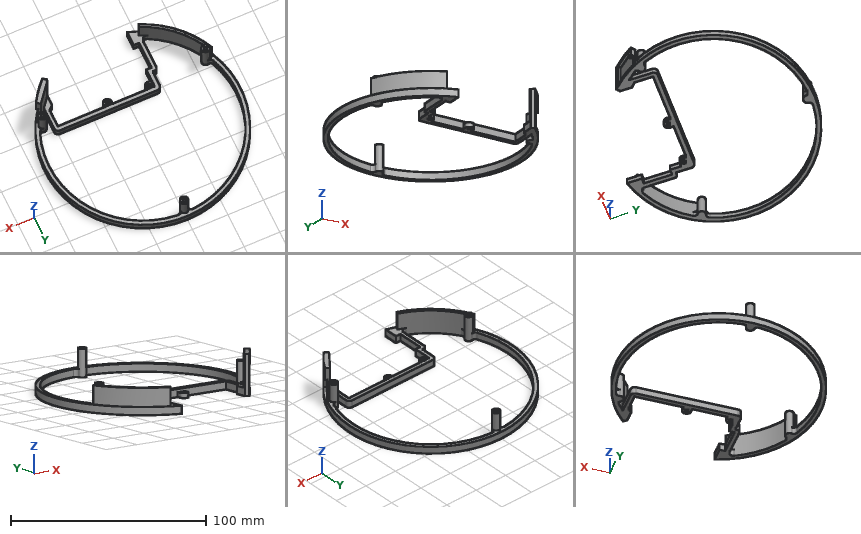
import cadquery as cq
import math

ring_radius = 55.0
ring_width = 2.4
inner_radius = ring_radius - ring_width
base_height = 4.3
beyond = 66.0

post_radius = 2.2
post_height = 15.1
post_hole_radius = 0.9
post_hole_depth = post_height - base_height
post_fillet = 2.0
side_post_x = 45.9
side_post_y = -23.0
post_centers = [(0, 50.8), (-side_post_x, side_post_y), (side_post_x, side_post_y)]

frame_left = -18.0
frame_right = 41.4
frame_top = -16.4
opening_left = -15.4
opening_right = 39.0
opening_top = -19.0
step_left = -20.8
step_top = -27.1
notch_left = -18.4
notch_top = -29.4
notch_bottom = -44.7
bevel_top = -29.2
bevel_bottom = -31.2
bevel_left = 36.7
frame_fillet = 2.2
step_fillet = 1.6

tab_radius = 2.3
tab_hole_radius = 1.0
tab_height = 2.6
tab_y = -21.1
left_tab_x = -13.5
middle_tab_x = 10.2

fin_outer_radius = 54.2
fin_top = 14.2
fin_start_angle = 204.4
fin_end_angle = 247.6

wall_angle = -39.0
wall_height = 22.0
wall_start = -6.3
wall_inner_face = 51.8
wall_end = 7.9
pocket_floor = 53.2
pocket_start = -4.2
pocket_end = 5.9
pocket_bottom = 1.6
pocket_top = 20.4
mouth_top = 14.5
groove_bottom_end = 9.4
groove_top_end = 10.5


def polar(radius, angle):
    a = math.radians(angle)
    return radius * math.cos(a), radius * math.sin(a)


def wall_point(distance, along):
    """Point at a radial distance and a tangential offset in the tall wall's frame."""
    x, y = polar(distance, wall_angle)
    dx, dy = polar(along, wall_angle + 90)
    return x + dx, y + dy


def cylinder(center, radius, height):
    return cq.Workplane("XY").center(*center).circle(radius).extrude(height)


def ring_band(outer, inner, height):
    return cq.Workplane("XY").circle(outer).circle(inner).extrude(height)


def fillet_upright(body, points, radius):
    """Round the full-height upright base edges nearest to the given points."""
    for x, y in points:
        edge = cq.selectors.NearestToPointSelector((x, y, base_height / 2))
        body = body.edges("|Z").edges(edge).fillet(radius)
    return body


def post_junctions(center):
    """The two places where a post outline crosses the inner ring circle."""
    x, y = center
    distance = math.hypot(x, y)
    direction = math.degrees(math.atan2(y, x))
    cosine = (distance**2 + inner_radius**2 - post_radius**2) / (2 * distance * inner_radius)
    spread = math.degrees(math.acos(cosine))
    return [polar(inner_radius, direction + side * spread) for side in (-1, 1)]


def make_base():
    ring = ring_band(ring_radius, inner_radius, base_height)
    outline = [
        (step_left, -beyond),
        (step_left, step_top),
        (frame_left, step_top),
        (frame_left, frame_top),
        (frame_right, frame_top),
        (frame_right, -beyond),
    ]
    frame = cq.Workplane("XY").polyline(outline).close().extrude(base_height)
    base = ring.union(frame.intersect(cylinder((0, 0), ring_radius, base_height)))

    opening = [
        (opening_left, -beyond),
        (opening_left, notch_bottom),
        (notch_left, notch_bottom),
        (notch_left, notch_top),
        (opening_left, notch_top),
        (opening_left, opening_top),
        (opening_right, opening_top),
        (opening_right, bevel_top),
        (bevel_left, bevel_bottom),
        (bevel_left, wall_point(inner_radius, wall_start)[1]),
        wall_point(inner_radius, wall_start),
        wall_point(beyond, wall_start),
    ]
    base = base.cut(cq.Workplane("XY").polyline(opening).close().extrude(base_height))
    for center in post_centers:
        base = base.union(cylinder(center, post_radius, base_height))

    ring_corner = (step_left, -math.sqrt(inner_radius**2 - step_left**2))
    frame_corners = [(frame_left, frame_top), (frame_right, frame_top), ring_corner]
    base = fillet_upright(base, frame_corners, frame_fillet)
    base = fillet_upright(base, [(step_left, step_top)], step_fillet)
    for center in post_centers:
        base = fillet_upright(base, post_junctions(center), post_fillet)
    return base


def make_tab(x, left_edge):
    """Rounded tab hanging from the frame, filled square out to its left edge."""
    tab = cylinder((x, tab_y), tab_radius, tab_height)
    neck_height = opening_top - tab_y
    neck = cq.Workplane("XY").box(2 * tab_radius, neck_height, tab_height, centered=(True, False, False))
    tab = tab.union(neck.translate((x, tab_y, 0)))
    if left_edge is not None:
        side = cq.Workplane("XY").box(
            x - left_edge, tab_radius + neck_height, tab_height, centered=False
        )
        tab = tab.union(side.translate((left_edge, tab_y - tab_radius, 0)))
        excess = cq.Workplane("XY").box(beyond, beyond, tab_height, centered=False)
        tab = tab.cut(excess.translate((left_edge - beyond, tab_y - beyond / 2, 0)))
    return tab.cut(cylinder((x, tab_y), tab_hole_radius, tab_height))


def make_fin():
    sector = [(0, 0), polar(2 * beyond, fin_start_angle), polar(2 * beyond, fin_end_angle)]
    wedge = cq.Workplane("XY").polyline(sector).close().extrude(fin_top)
    return ring_band(fin_outer_radius, inner_radius, fin_top).intersect(wedge)


def make_wall():
    """Wall with a flat inner face, a round outer face and a corner trimmed flush with the frame."""
    face_x = polar(wall_inner_face, wall_angle)[0]
    trim_start = (bevel_left - face_x) / math.cos(math.radians(wall_angle + 90))
    outline = [
        wall_point(wall_inner_face, trim_start),
        (bevel_left, wall_point(inner_radius, wall_start)[1]),
        wall_point(inner_radius, wall_start),
        wall_point(beyond, wall_start),
        wall_point(beyond, wall_end),
        wall_point(wall_inner_face, wall_end),
    ]
    block = cq.Workplane("XY").polyline(outline).close().extrude(wall_height)
    return block.intersect(cylinder((0, 0), ring_radius, wall_height))


def make_pocket():
    """Pocket profile on the flat floor, cut radially outward."""
    floor_plane = cq.Plane(
        origin=(*polar(pocket_floor, wall_angle), 0),
        xDir=(*polar(1, wall_angle + 90), 0),
        normal=(*polar(1, wall_angle), 0),
    )
    profile = [
        (pocket_start, pocket_bottom),
        (groove_bottom_end, pocket_bottom),
        (groove_top_end, base_height),
        (groove_top_end, mouth_top),
        (pocket_end, mouth_top),
        (pocket_end, pocket_top),
        (pocket_start, pocket_top),
    ]
    return cq.Workplane(floor_plane).polyline(profile).close().extrude(beyond - pocket_floor)


result = make_base().union(make_fin()).union(make_wall()).cut(make_pocket())
result = result.union(make_tab(left_tab_x, opening_left)).union(make_tab(middle_tab_x, None))
for post_center in post_centers:
    result = result.union(cylinder(post_center, post_radius, post_height))
for post_center in post_centers:
    hole = cylinder(post_center, post_hole_radius, post_hole_depth)
    result = result.cut(hole.translate((0, 0, post_height - post_hole_depth)))